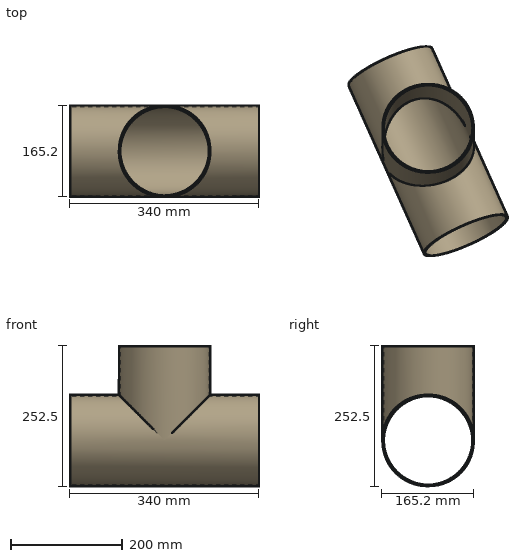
import cadquery as cq

run_length = 340.0
outer_diameter = 165.2
inner_diameter = 159.0
total_height = 252.5

branch_length = total_height - outer_diameter / 2


def tee_cylinders(diameter):
    """Union of the run and branch cylinders of one diameter."""
    radius = diameter / 2
    run = cq.Workplane("YZ").circle(radius).extrude(run_length / 2, both=True)
    branch = cq.Workplane("XY").circle(radius).extrude(branch_length)
    return run.union(branch)


result = tee_cylinders(outer_diameter).cut(tee_cylinders(inner_diameter))